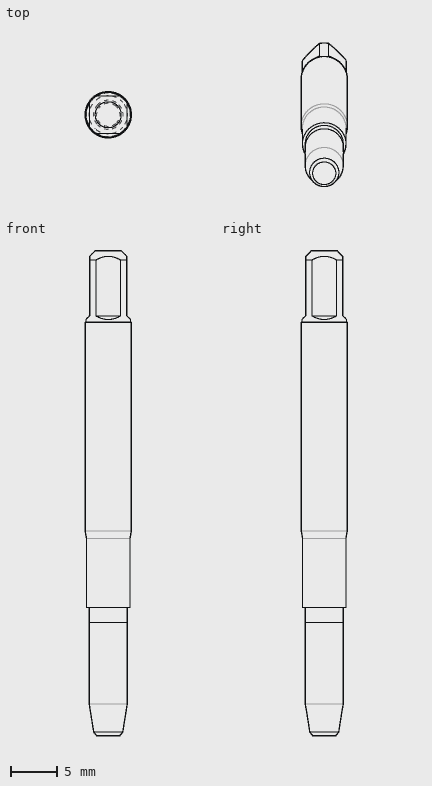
import cadquery as cq

overall_length = 52.2
tip_chamfer_height = 0.4
lead_top = 3.4
cutting_head_top = 12.2
neck_top = 13.8
collar_top = 21.21

shank_taper_height = 0.85
square_length = 7.0
journal_length = 0.65

tip_diameter = 2.5
lead_small_diameter = 3.15
thread_diameter = 4.11
neck_diameter = thread_diameter
collar_diameter = 4.7
drive_diameter = 4.8
shank_diameter = 5.0

square_width = 4.0
flat_count = 4
drive_chamfer = 1.0
shoulder_chamfer = (shank_diameter - drive_diameter) / 2


def revolve_profile(points):
    """Turn (diameter, height) pairs, listed from bottom to top, into a solid about Z."""
    bottom_height = points[0][1]
    top_height = points[-1][1]
    outline = [(diameter / 2, height) for diameter, height in points]
    outline = [(0, bottom_height)] + outline + [(0, top_height)]
    return cq.Workplane("XZ").polyline(outline).close().revolve(360, (0, 0, 0), (0, 1, 0))


def make_cutting_head():
    """Threaded end as a plain cylinder with a tapered lead and a chamfered tip."""
    return revolve_profile([
        (tip_diameter, 0),
        (lead_small_diameter, tip_chamfer_height),
        (thread_diameter, lead_top),
        (thread_diameter, cutting_head_top),
    ])


def make_flat_cutter():
    """Prism that mills one flat, with a floor sloping down and outward at 45 degrees."""
    flat_distance = square_width / 2
    flat_bottom = overall_length - square_length
    reach = shank_diameter
    profile = [
        (flat_distance, overall_length),
        (flat_distance, flat_bottom),
        (flat_distance + reach, flat_bottom - reach),
        (flat_distance + reach, overall_length),
    ]
    return cq.Workplane("XZ").polyline(profile).close().extrude(shank_diameter / 2, both=True)


def make_shank():
    """Neck, collar, shank and square drive."""
    shank_top = overall_length - square_length - journal_length
    body = revolve_profile([
        (neck_diameter, cutting_head_top),
        (neck_diameter, neck_top),
        (collar_diameter, neck_top),
        (collar_diameter, collar_top),
        (shank_diameter, collar_top + shank_taper_height),
        (shank_diameter, shank_top - shoulder_chamfer),
        (drive_diameter, shank_top),
        (drive_diameter, overall_length - drive_chamfer),
        (drive_diameter - 2 * drive_chamfer, overall_length),
    ])
    flat_cutter = make_flat_cutter()
    for flat in range(flat_count):
        angle = 360 / flat_count * flat
        body = body.cut(flat_cutter.rotate((0, 0, 0), (0, 0, 1), angle))
    return body


cutting_head = make_cutting_head()
shank = make_shank()
result = cq.Compound.makeCompound([cutting_head.val(), shank.val()])